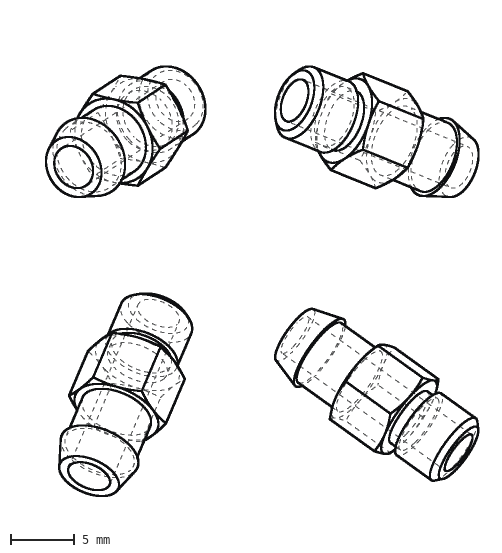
import cadquery as cq
import math

barb_length = 2.5
hose_tube_length = 4.0
hex_length = 5.0
neck_length = 1.0
plug_length = 4.0

barb_tip_diameter = 5.0
barb_diameter = 6.5
hose_tube_diameter = 5.8
neck_diameter = 5.0
plug_diameter = 6.0
bore_diameter = 3.5

plug_chamfer = 0.5
hex_sides = 6
hex_across_flats = 7.0
hex_chamfer_angle = 25.0

hex_back = hex_length
barb_shoulder = -hose_tube_length
barb_tip = barb_shoulder - barb_length
plug_start = hex_back + neck_length
plug_end = plug_start + plug_length

hex_across_corners = hex_across_flats / math.cos(math.pi / hex_sides)


def turned(outline):
    """Revolve a closed (radius, Y) outline about the Y axis."""
    return cq.Workplane("XY").polyline(outline).close().revolve(360, (0, 0, 0), (0, 1, 0))


def make_turned_body():
    """Stepped round body: barb, hose tube, neck and chamfered plug."""
    outline = [
        (0, barb_tip),
        (barb_tip_diameter / 2, barb_tip),
        (barb_diameter / 2, barb_shoulder),
        (hose_tube_diameter / 2, barb_shoulder),
        (hose_tube_diameter / 2, 0),
        (neck_diameter / 2, 0),
        (neck_diameter / 2, plug_start),
        (plug_diameter / 2, plug_start),
        (plug_diameter / 2, plug_end - plug_chamfer),
        (plug_diameter / 2 - plug_chamfer, plug_end),
        (0, plug_end),
    ]
    return turned(outline)


def make_hex():
    """Hexagon with corners on the X axis and conically chamfered ends."""
    prism = cq.Workplane("XZ").polygon(hex_sides, hex_across_corners).extrude(-hex_length)
    face_radius = hex_across_flats / 2
    corner_radius = hex_across_corners / 2
    chamfer_depth = (corner_radius - face_radius) * math.tan(math.radians(hex_chamfer_angle))
    envelope = turned([
        (0, 0),
        (face_radius, 0),
        (corner_radius, chamfer_depth),
        (corner_radius, hex_back - chamfer_depth),
        (face_radius, hex_back),
        (0, hex_back),
    ])
    return prism.intersect(envelope)


def make_bore():
    """Through hole along the whole fitting."""
    total_length = plug_end - barb_tip
    bore = cq.Workplane("XZ").circle(bore_diameter / 2).extrude(-total_length)
    return bore.translate((0, barb_tip, 0))


result = make_turned_body().union(make_hex()).cut(make_bore())